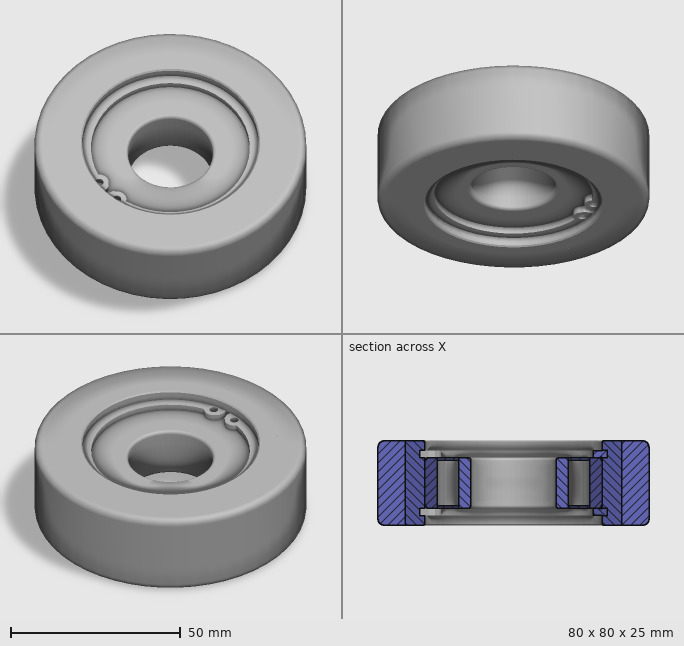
import cadquery as cq
import math


wheel_radius = 40.0
wheel_width = 25.0
tyre_edge_radius = 2.0
hub_radius = 31.8
hub_edge_chamfer = 0.4

bearing_radius = 26.0
bearing_bore_radius = 12.5
bearing_width = 15.0
bearing_edge_radius = 1.0
seal_outer_radius = 22.4
seal_inner_radius = 16.2
seal_thickness = 1.0

ring_inner_radius = 23.4
ring_outer_radius = 27.5
ring_thickness = 2.0
ear_radius = 2.8
ear_hole_radius = 1.3
ear_offset = 4.0
ear_centre_radius = 24.4
ear_corner = (1.8, -22.4)
gap_mouth = (1.0, -23.0)
gap_neck = (0.6, -25.0)
gap_tail = (1.5, -28.3)

bearing_face_z = bearing_width / 2
ear_y = -math.sqrt(ear_centre_radius**2 - ear_offset**2)


def centred_plane(width):
    """Workplane from which an extrusion by the same width is centred on the mid-plane."""
    return cq.Workplane("XY").workplane(offset=-width / 2)


def tube(outer_radius, inner_radius, width):
    """Plain tube around the wheel axis, centred on the mid-plane."""
    return centred_plane(width).circle(outer_radius).circle(inner_radius).extrude(width)


def make_tyre():
    tyre = tube(wheel_radius, hub_radius, wheel_width)
    return tyre.edges(cq.selectors.RadiusNthSelector(-1)).fillet(tyre_edge_radius)


def make_hub():
    hub = tube(hub_radius, bearing_radius, wheel_width)
    hub = hub.edges(cq.selectors.RadiusNthSelector(0)).chamfer(hub_edge_chamfer)
    groove = tube(ring_outer_radius, bearing_radius, ring_thickness)
    groove_z = bearing_face_z + ring_thickness / 2
    for z in (groove_z, -groove_z):
        hub = hub.cut(groove.translate((0, 0, z)))
    return hub


def make_outer_race():
    race = tube(bearing_radius, seal_outer_radius, bearing_width)
    return race.edges(cq.selectors.RadiusNthSelector(-1)).fillet(bearing_edge_radius)


def make_inner_race():
    race = tube(seal_inner_radius, bearing_bore_radius, bearing_width)
    return race.edges(cq.selectors.RadiusNthSelector(0)).fillet(bearing_edge_radius)


def make_seal(side):
    """Flat annular seal, flush with the bearing face on the given side (+1 or -1)."""
    seal = tube(seal_outer_radius, seal_inner_radius, seal_thickness)
    return seal.translate((0, 0, side * (bearing_face_z - seal_thickness / 2)))


def mirrored(points):
    """The same points on the other side of the YZ plane."""
    return [(-x, y) for x, y in points]


def make_retaining_ring(side):
    """Split ring with two pierced ears beside the gap, on the given side (+1 or -1)."""
    ear_centres = [(-ear_offset, ear_y), (ear_offset, ear_y)]
    ring = tube(ring_outer_radius, ring_inner_radius, ring_thickness)
    ears = centred_plane(ring_thickness).pushPoints(ear_centres).circle(ear_radius)
    ring = ring.union(ears.extrude(ring_thickness))

    cheek_outline = [(ear_offset, ear_y), ear_corner, gap_mouth, gap_neck]
    for outline in (cheek_outline, mirrored(cheek_outline)):
        cheek = centred_plane(ring_thickness).polyline(outline).close()
        ring = ring.union(cheek.extrude(ring_thickness))

    gap_side = [gap_mouth, gap_neck, gap_tail]
    gap_outline = gap_side + mirrored(reversed(gap_side))
    gap = centred_plane(ring_thickness).polyline(gap_outline).close()
    ring = ring.cut(gap.extrude(ring_thickness))

    holes = centred_plane(ring_thickness).pushPoints(ear_centres).circle(ear_hole_radius)
    ring = ring.cut(holes.extrude(ring_thickness))
    return ring.translate((0, 0, side * (bearing_face_z + ring_thickness / 2)))


tyre = make_tyre()
hub = make_hub()
outer_race = make_outer_race()
inner_race = make_inner_race()
seals = [make_seal(side) for side in (1, -1)]
retaining_rings = [make_retaining_ring(side) for side in (1, -1)]

result = cq.Compound.makeCompound([
    tyre.val(),
    hub.val(),
    outer_race.val(),
    inner_race.val(),
    *[seal.val() for seal in seals],
    *[ring.val() for ring in retaining_rings],
])